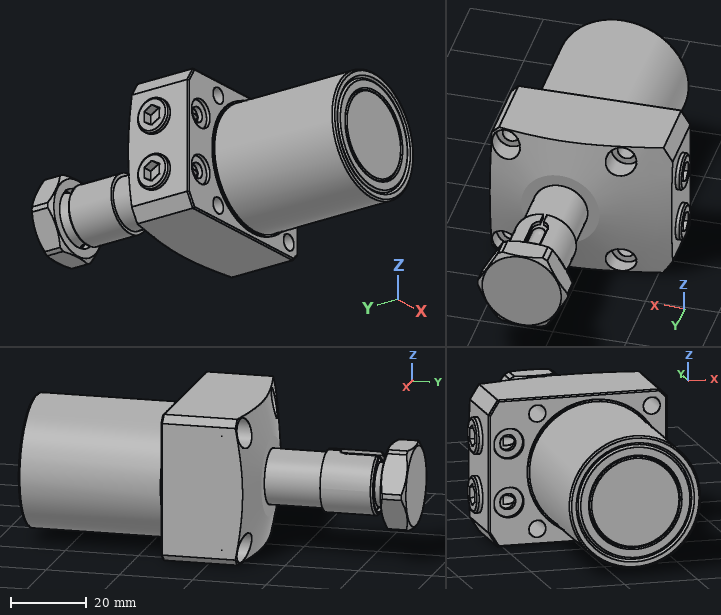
import cadquery as cq
import math


BLOCK_LENGTH = 25.0
BLOCK_RIGHT = 20.0
BLOCK_LEFT = -29.0
HALF_HEIGHT = 20.0
RIGHT_CHAMFER = 2.0
LEFT_CHAMFER_X = 2.5
LEFT_CHAMFER_Z = 4.0
FACE_EDGE_CHAMFER = 0.4
CONE_FLAT_RADIUS = 10.7
CONE_SLOPE = math.tan(math.radians(16.0))
CONE_OUTER_RADIUS = 40.0
MOUNT_HOLE_DIAMETER = 4.6
MOUNT_HOLE_OFFSET = 15.7
SCREW_SEAT_DIAMETER = 8.0
SCREW_SEAT_Y = 16.5

TUBE_LENGTH = 39.5
TUBE_RADIUS = 18.0
TUBE_COLLAR_RADIUS = 18.5
TUBE_COLLAR_LENGTH = 0.5
TUBE_END_CHAMFER = 0.5

CAP_RADIUS = 15.6
CAP_THICKNESS = 6.0
DISC_RADIUS = 12.4
DISC_THICKNESS = 3.0
CAP_SEAM_CHAMFER = 0.6
DISC_SEAM_CHAMFER = 0.4

PORT_X = -23.5
PORT_Z = 8.0
PORT_SEAT_DIAMETER = 8.2
PORT_SEAT_DEPTH = 1.1
PORT_DIAMETER = 4.3
PORT_DEPTH = 2.6
DRILL_POINT_HALF_ANGLE = 59.0
PLUG_Y = 10.9
PLUG_HEAD_DIAMETER = 9.9
PLUG_HEAD_HEIGHT = 1.5
PLUG_HEAD_CHAMFER = 0.5
PLUG_SHANK_DIAMETER = 8.0
PLUG_SHANK_LENGTH = 2.5
PLUG_HEX_FLATS = 5.0
PLUG_HEX_DEPTH = 3.0
CROSS_HOLE_DIAMETER = 2.8
CROSS_HOLE_Y = 3.9
CROSS_HOLE_START = -24.1
CROSS_HOLE_END = -19.0

ROD_RADIUS = 7.5
ROD_SEAT_DEPTH = 10.0
ROD_END_CHAMFER = 1.2
HEAD_TOP = BLOCK_LENGTH + 39.5
HEAD_HEIGHT = 7.0
HEAD_FLATS = 22.0
HEAD_CORNER_DIAMETER = 24.6
HEAD_FACE_DIAMETER = 21.6
HEAD_CHAMFER_ANGLE = 30.0
HEAD_BASE = HEAD_TOP - HEAD_HEIGHT
CONE_BASE_RADIUS = 6.75
HEAD_RECESS_RADIUS = 8.2
HEAD_RECESS_DEPTH = 3.0
CONE_HEIGHT = 1.9
NECK_RADIUS = 6.15
NECK_LENGTH = 0.9
GROOVE_RADIUS = 1.8
GROOVE_AXIS_RADIUS = 7.8
GROOVE_LENGTH = 10.3

COLLAR_RADIUS = 8.5
COLLAR_LENGTH = 14.25
COLLAR_CHAMFER = 0.5
COLLAR_TOP = HEAD_BASE - CONE_HEIGHT - NECK_LENGTH
COLLAR_BASE = COLLAR_TOP - COLLAR_LENGTH
SLOT_WIDTH = 4.5
SLOT_DEPTH = 10.9
SLIT_WIDTH = 0.95

PORT_SIDES = (-1, 1)


def revolve_about_rod(points):
    """Revolve a closed (radius, y) outline about the rod axis."""
    return cq.Workplane("XY").polyline(points).close().revolve(360, (0, 0, 0), (0, 1, 0))


def cylinder_y(radius, start, end, x=0, z=0):
    return cq.Workplane("XZ", origin=(x, start, z)).circle(radius).extrude(start - end)


def cylinder_x(diameter, start, end, y, z):
    return cq.Workplane("YZ", origin=(start, y, z)).circle(diameter / 2).extrude(end - start)


def make_disc():
    back = -TUBE_LENGTH + DISC_THICKNESS
    disc = cylinder_y(DISC_RADIUS, -TUBE_LENGTH, back)
    return disc.faces("<Y").chamfer(DISC_SEAM_CHAMFER)


def make_cap():
    front = -TUBE_LENGTH
    cap = cylinder_y(CAP_RADIUS, front, front + CAP_THICKNESS)
    cap = cap.faces("<Y").chamfer(CAP_SEAM_CHAMFER)
    return cap.cut(cylinder_y(DISC_RADIUS, front, front + DISC_THICKNESS)).cut(
        mouth_chamfer(DISC_RADIUS, DISC_SEAM_CHAMFER)
    )


def mouth_chamfer(radius, size):
    """Cutter that bevels the mouth of a bore in the tube's end face."""
    front = -TUBE_LENGTH
    return revolve_about_rod([(0, front), (radius + size, front), (radius, front + size), (0, front + size)])


def block_outline():
    right = BLOCK_RIGHT
    left = BLOCK_LEFT
    top = HALF_HEIGHT
    return [
        (left, LEFT_CHAMFER_Z - top),
        (left + LEFT_CHAMFER_X, -top),
        (right - RIGHT_CHAMFER, -top),
        (right, RIGHT_CHAMFER - top),
        (right, top - RIGHT_CHAMFER),
        (right - RIGHT_CHAMFER, top),
        (left + LEFT_CHAMFER_X, top),
        (left, top - LEFT_CHAMFER_Z),
    ]


def make_block():
    block = cq.Workplane("XZ").polyline(block_outline()).close().extrude(-BLOCK_LENGTH)
    block = block.faces("<Y").chamfer(FACE_EDGE_CHAMFER)
    cone_drop = (CONE_OUTER_RADIUS - CONE_FLAT_RADIUS) * CONE_SLOPE
    above_cone = revolve_about_rod(
        [
            (CONE_FLAT_RADIUS, BLOCK_LENGTH),
            (CONE_OUTER_RADIUS, BLOCK_LENGTH - cone_drop),
            (CONE_OUTER_RADIUS, BLOCK_LENGTH),
        ]
    )
    block = block.cut(above_cone)
    for x in (-MOUNT_HOLE_OFFSET, MOUNT_HOLE_OFFSET):
        for z in (-MOUNT_HOLE_OFFSET, MOUNT_HOLE_OFFSET):
            block = block.cut(cylinder_y(MOUNT_HOLE_DIAMETER / 2, 0, BLOCK_LENGTH, x, z))
            block = block.cut(cylinder_y(SCREW_SEAT_DIAMETER / 2, SCREW_SEAT_Y, BLOCK_LENGTH, x, z))
    return block


def port_drilling(z):
    """Blind drilled hole with a conical drill point."""
    radius = PORT_DIAMETER / 2
    tip = PORT_DEPTH + radius / math.tan(math.radians(DRILL_POINT_HALF_ANGLE))
    drill = revolve_about_rod([(0, 0), (radius, 0), (radius, PORT_DEPTH), (0, tip)])
    return drill.translate((PORT_X, 0, z))


def make_housing():
    housing = make_block()
    tube = cylinder_y(TUBE_RADIUS, -TUBE_LENGTH, 0).faces("<Y").chamfer(TUBE_END_CHAMFER)
    housing = housing.union(tube).union(cylinder_y(TUBE_COLLAR_RADIUS, -TUBE_COLLAR_LENGTH, 0))
    housing = housing.cut(cylinder_y(CAP_RADIUS, -TUBE_LENGTH, -TUBE_LENGTH + CAP_THICKNESS))
    housing = housing.cut(mouth_chamfer(CAP_RADIUS, CAP_SEAM_CHAMFER))
    housing = housing.cut(cylinder_y(ROD_RADIUS, BLOCK_LENGTH - ROD_SEAT_DEPTH, BLOCK_LENGTH))
    for side in PORT_SIDES:
        z = side * PORT_Z
        shank_end = BLOCK_LEFT + PLUG_SHANK_LENGTH
        housing = housing.cut(cylinder_y(PORT_SEAT_DIAMETER / 2, 0, PORT_SEAT_DEPTH, PORT_X, z))
        housing = housing.cut(port_drilling(z))
        housing = housing.cut(cylinder_x(PLUG_SHANK_DIAMETER, BLOCK_LEFT, shank_end, PLUG_Y, z))
        housing = housing.cut(cylinder_x(CROSS_HOLE_DIAMETER, CROSS_HOLE_START, CROSS_HOLE_END, CROSS_HOLE_Y, z))
    return housing


def make_plug(side):
    z = side * PORT_Z
    head_face = BLOCK_LEFT - PLUG_HEAD_HEIGHT
    head = cylinder_x(PLUG_HEAD_DIAMETER, head_face, BLOCK_LEFT, PLUG_Y, z)
    head = head.faces("<X").chamfer(PLUG_HEAD_CHAMFER)
    plug = head.union(
        cylinder_x(PLUG_SHANK_DIAMETER, BLOCK_LEFT, BLOCK_LEFT + PLUG_SHANK_LENGTH, PLUG_Y, z)
    )
    socket = (
        cq.Workplane("YZ", origin=(head_face, PLUG_Y, z))
        .polygon(6, PLUG_HEX_FLATS, circumscribed=True)
        .extrude(PLUG_HEX_DEPTH)
    )
    return plug.cut(socket)


def make_head():
    hexagon = (
        cq.Workplane("XZ", origin=(0, HEAD_BASE, 0))
        .transformed(rotate=(0, 0, 30))
        .polygon(6, HEAD_FLATS, circumscribed=True)
        .extrude(-HEAD_HEIGHT)
    )
    corner_radius = HEAD_CORNER_DIAMETER / 2
    face_radius = HEAD_FACE_DIAMETER / 2
    bevel = (corner_radius - face_radius) * math.tan(math.radians(HEAD_CHAMFER_ANGLE))
    turned_blank = revolve_about_rod(
        [
            (0, HEAD_BASE),
            (face_radius, HEAD_BASE),
            (corner_radius, HEAD_BASE + bevel),
            (corner_radius, HEAD_TOP - bevel),
            (face_radius, HEAD_TOP),
            (0, HEAD_TOP),
        ]
    )
    recess = cylinder_y(HEAD_RECESS_RADIUS, HEAD_BASE, HEAD_BASE + HEAD_RECESS_DEPTH)
    return hexagon.intersect(turned_blank).cut(recess)


def make_rod():
    neck_top = HEAD_BASE - CONE_HEIGHT
    recess_floor = HEAD_BASE + HEAD_RECESS_DEPTH
    cone_flare = (CONE_BASE_RADIUS - NECK_RADIUS) / CONE_HEIGHT
    shaft = revolve_about_rod(
        [
            (0, BLOCK_LENGTH - ROD_SEAT_DEPTH),
            (ROD_RADIUS, BLOCK_LENGTH - ROD_SEAT_DEPTH),
            (ROD_RADIUS, COLLAR_TOP - ROD_END_CHAMFER),
            (NECK_RADIUS, COLLAR_TOP),
            (NECK_RADIUS, neck_top),
            (CONE_BASE_RADIUS + cone_flare * HEAD_RECESS_DEPTH, recess_floor),
            (0, recess_floor),
        ]
    )
    groove_end = HEAD_BASE - GROOVE_LENGTH
    groove = cylinder_y(GROOVE_RADIUS, groove_end, recess_floor, z=GROOVE_AXIS_RADIUS)
    round_end = cq.Workplane("XY", origin=(0, groove_end, GROOVE_AXIS_RADIUS)).sphere(GROOVE_RADIUS)
    return shaft.cut(groove).cut(round_end).union(make_head())


def make_collar():
    collar = cylinder_y(COLLAR_RADIUS, COLLAR_BASE, COLLAR_TOP).faces(">Y").chamfer(COLLAR_CHAMFER)
    collar = collar.cut(cylinder_y(ROD_RADIUS, COLLAR_BASE, COLLAR_TOP))
    slot_radius = SLOT_WIDTH / 2
    arc_centre = COLLAR_TOP - SLOT_DEPTH + slot_radius
    slot = (
        cq.Workplane("XY")
        .moveTo(-slot_radius, COLLAR_TOP)
        .lineTo(-slot_radius, arc_centre)
        .threePointArc((0, COLLAR_TOP - SLOT_DEPTH), (slot_radius, arc_centre))
        .lineTo(slot_radius, COLLAR_TOP)
        .close()
        .extrude(COLLAR_RADIUS)
    )
    slit = (
        cq.Workplane("XY", origin=(0, (COLLAR_BASE + COLLAR_TOP) / 2, 0))
        .rect(SLIT_WIDTH, COLLAR_LENGTH)
        .extrude(COLLAR_RADIUS)
    )
    return collar.cut(slot).cut(slit)


housing = make_housing()
cap = make_cap()
disc = make_disc()
rod = make_rod()
collar = make_collar()
plugs = [make_plug(side) for side in PORT_SIDES]

result = cq.Compound.makeCompound(
    [housing.val(), cap.val(), disc.val(), rod.val(), collar.val(), *[plug.val() for plug in plugs]]
)